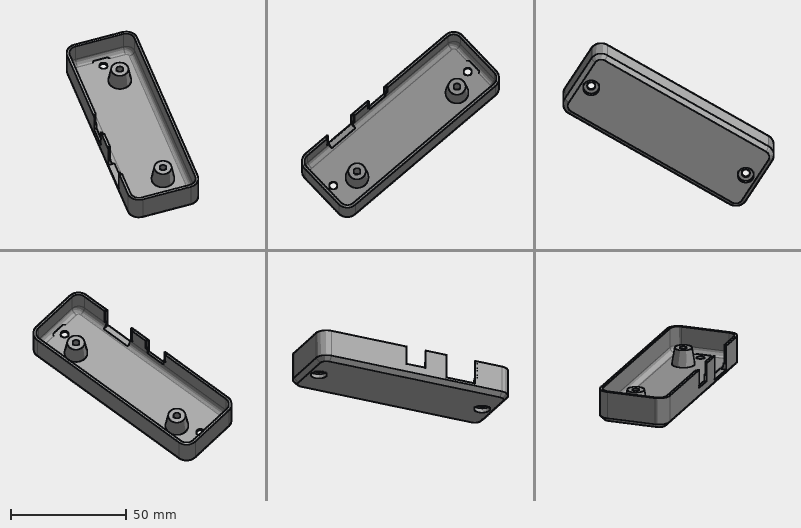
import cadquery as cq

length = 92.0
width = 32.0
height = 14.0
corner_radius = 5.0
bottom_chamfer = 2.0

wall = 1.2
floor_thickness = 3.0
floor_fillet = 2.5

boss_spacing = 58.4
boss_center_x = -0.1
boss_y = 4.1
boss_base_diameter = 10.0
boss_top_diameter = 7.5
boss_top_z = 10.5
boss_hole_diameter = 3.0

mount_spacing = 78.6
mount_hole_diameter = 3.5
mount_recess_diameter = 7.0
mount_recess_depth = 2.0
mount_relief_diameter = 9.8
mount_relief_reach = 43.1

windows = [
    (-0.1, 9.2, 5.7),
    (21.4, 13.8, 3.15),
]
window_depth = 4.0
thinned_wall = 0.6
thinned_margin = 1.15
thinned_rise = 2.7


def block(x_size, y_size, z_low, z_high):
    """Box centred on the Z axis between two heights."""
    return cq.Workplane("XY").workplane(offset=z_low).rect(x_size, y_size).extrude(z_high - z_low)


def cylinder(diameter, x, y, z_low, z_high):
    """Upright cylinder between two heights."""
    return (
        cq.Workplane("XY").workplane(offset=z_low).center(x, y)
        .circle(diameter / 2).extrude(z_high - z_low)
    )


def make_tray():
    """Open tray with rounded corners, a chamfered bottom and a filleted cavity."""
    outside = block(length, width, 0, height).edges("|Z").fillet(corner_radius)
    outside = outside.faces("<Z").edges().chamfer(bottom_chamfer)
    cavity = block(length - 2 * wall, width - 2 * wall, floor_thickness, height)
    cavity = cavity.edges("|Z").fillet(corner_radius - wall)
    cavity = cavity.faces("<Z").edges().fillet(floor_fillet)
    return outside.cut(cavity)


def add_boss(body, x):
    """Conical boss with a blind screw hole that stops at the floor."""
    boss = (
        cq.Workplane("XY").workplane(offset=floor_thickness).center(x, boss_y)
        .circle(boss_base_diameter / 2)
        .workplane(offset=boss_top_z - floor_thickness)
        .circle(boss_top_diameter / 2)
        .loft()
    )
    hole = cylinder(boss_hole_diameter, x, boss_y, floor_thickness, boss_top_z)
    return body.union(boss).cut(hole)


def cut_mount(body, x):
    """Floor hole, its head recess below and the shallow fillet relief beside it."""
    hole = cylinder(mount_hole_diameter, x, 0, 0, floor_thickness)
    recess = cylinder(mount_recess_diameter, x, 0, 0, mount_recess_depth)
    relief = cylinder(mount_relief_diameter, x, 0, floor_thickness, height)
    relief = relief.intersect(block(2 * mount_relief_reach, width, floor_thickness, height))
    return body.cut(hole).cut(recess).cut(relief)


def cut_window(body, x, opening_width, sill_z):
    """Window open to the rim, with the wall thinned from inside around its upper part."""
    front_y = -width / 2
    opening = block(opening_width, 2 * window_depth, sill_z, height).translate((x, front_y, 0))
    thinned_depth = wall - thinned_wall
    thinned = block(
        opening_width + 2 * thinned_margin, thinned_depth, sill_z + thinned_rise, height
    ).translate((x, front_y + thinned_wall + thinned_depth / 2, 0))
    return body.cut(opening).cut(thinned)


result = make_tray()
for side in (-1, 1):
    result = cut_mount(result, side * mount_spacing / 2)
    result = add_boss(result, boss_center_x + side * boss_spacing / 2)
for window in windows:
    result = cut_window(result, *window)